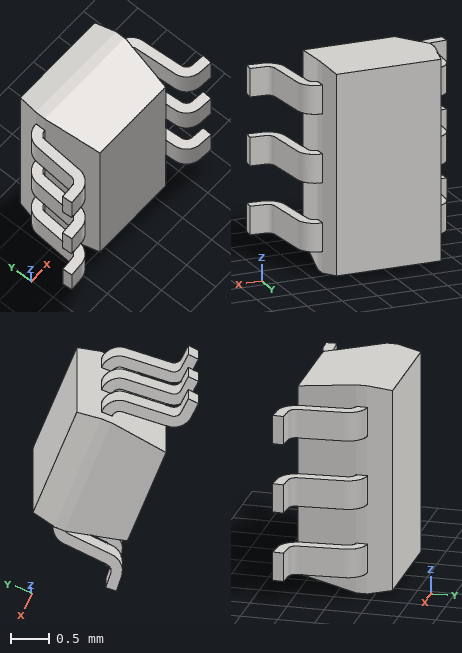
import cadquery as cq
import math


lead_span = 2.8
overall_depth = 1.45

band_width = 1.6
band_length = 2.9
lead_thickness = 0.15
back_depth = 0.325
front_depth = 0.825
draft_angle = 10.0

band_back_y = overall_depth - back_depth
band_front_y = band_back_y - lead_thickness

lead_width = 0.397
lead_pitch = 0.95
leads_per_side = 3
lead_slant = 4.1
inner_radius = 0.105
outer_radius = inner_radius + lead_thickness
middle_radius = (inner_radius + outer_radius) / 2


def tapered_block(start_y, depth):
    """Block as large as the band at start_y, narrowing over a signed depth along Y."""
    inset = abs(depth) * math.tan(math.radians(draft_angle))
    return (
        cq.Workplane("XZ", origin=(0, start_y, 0))
        .rect(band_width, band_length)
        .workplane(offset=-depth)
        .rect(band_width - 2 * inset, band_length - 2 * inset)
        .loft(ruled=True)
    )


def make_housing():
    """Moulded housing: the band joined to its back and front tapered blocks."""
    band = (
        cq.Workplane("XZ", origin=(0, band_back_y, 0))
        .rect(band_width, band_length)
        .extrude(lead_thickness)
    )
    back = tapered_block(band_back_y, back_depth)
    front = tapered_block(band_front_y, -front_depth)
    return band.union(back).union(front)


def polar(origin, distance, degrees):
    """Point at a distance from origin, in a direction counted from +X towards +Y."""
    angle = math.radians(degrees)
    return (origin[0] + distance * math.cos(angle), origin[1] + distance * math.sin(angle))


def lead_lengths():
    """Straight lengths of leg and foot that bring the tip to the full span and to Y = 0."""
    sine = math.sin(math.radians(lead_slant))
    cosine = math.cos(math.radians(lead_slant))
    reach = (lead_span - band_width) / 2
    straight_reach = reach - middle_radius * (2 * cosine - sine) - lead_thickness / 2 * sine
    straight_drop = (
        band_back_y - middle_radius * (1 + cosine - 2 * sine) - lead_thickness / 2 * (1 + cosine)
    )
    divisor = cosine**2 - sine**2
    leg = (straight_drop * cosine - straight_reach * sine) / divisor
    foot = (straight_reach * cosine - straight_drop * sine) / divisor
    return leg, foot


def make_lead(center_z):
    """Lead on the +X side: a bend at the housing, a slanted leg, a second bend and a foot."""
    leg_length, foot_length = lead_lengths()
    leg_direction = lead_slant - 90
    foot_direction = -lead_slant

    shoulder = (band_width / 2, band_back_y - outer_radius)
    leg_end = polar(polar(shoulder, middle_radius, lead_slant), leg_length, leg_direction)
    ankle = polar(leg_end, middle_radius, lead_slant)

    shoulder_start = 90
    shoulder_end = lead_slant
    shoulder_middle = (shoulder_start + shoulder_end) / 2
    ankle_start = 180 + lead_slant
    ankle_end = 270 - lead_slant
    ankle_middle = (ankle_start + ankle_end) / 2

    upper_tip = polar(polar(ankle, inner_radius, ankle_end), foot_length, foot_direction)
    lower_tip = polar(polar(ankle, outer_radius, ankle_end), foot_length, foot_direction)

    return (
        cq.Workplane("XY", origin=(0, 0, center_z))
        .moveTo(*polar(shoulder, outer_radius, shoulder_start))
        .threePointArc(
            polar(shoulder, outer_radius, shoulder_middle),
            polar(shoulder, outer_radius, shoulder_end),
        )
        .lineTo(*polar(ankle, inner_radius, ankle_start))
        .threePointArc(
            polar(ankle, inner_radius, ankle_middle),
            polar(ankle, inner_radius, ankle_end),
        )
        .lineTo(*upper_tip)
        .lineTo(*lower_tip)
        .lineTo(*polar(ankle, outer_radius, ankle_end))
        .threePointArc(
            polar(ankle, outer_radius, ankle_middle),
            polar(ankle, outer_radius, ankle_start),
        )
        .lineTo(*polar(shoulder, inner_radius, shoulder_end))
        .threePointArc(
            polar(shoulder, inner_radius, shoulder_middle),
            polar(shoulder, inner_radius, shoulder_start),
        )
        .close()
        .extrude(lead_width / 2, both=True)
    )


housing = make_housing()

leads = []
for row in range(leads_per_side):
    row_z = (row - (leads_per_side - 1) / 2) * lead_pitch
    lead = make_lead(row_z)
    leads.append(lead.val())
    leads.append(lead.mirror("YZ").val())

result = cq.Compound.makeCompound([housing.val(), *leads])